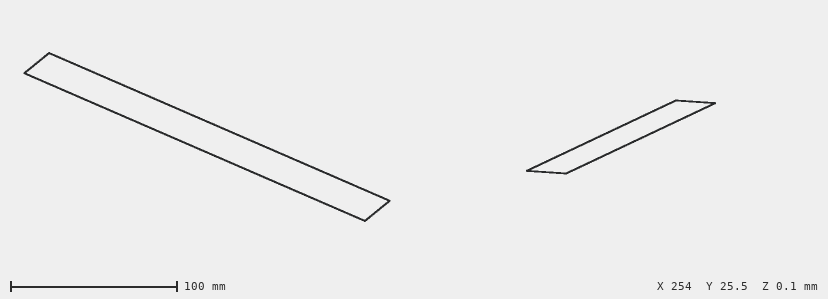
import cadquery as cq

length = 254.0
width = 25.5
thickness = 0.1

result = cq.Workplane("XY").box(length, width, thickness)